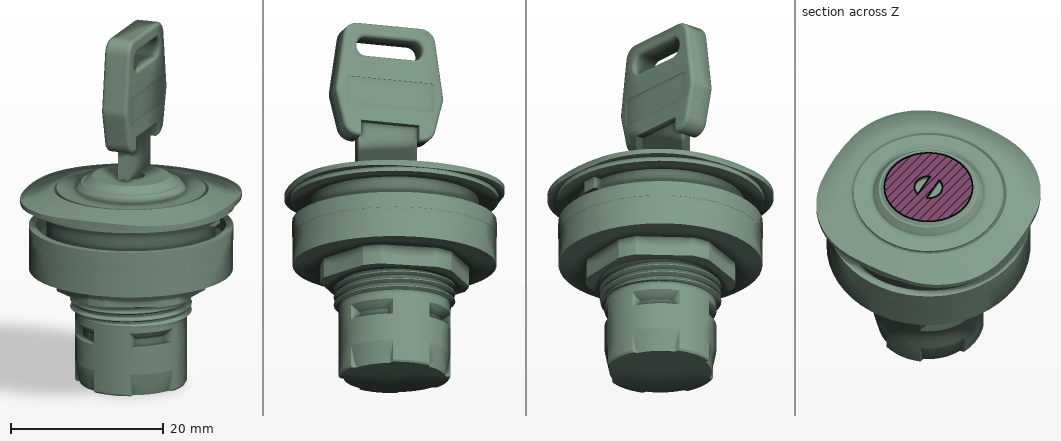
import cadquery as cq
import math

LIP_HEIGHT = 0.25
NOTCH_TOP = 3.0
WINDOW_BOTTOM = 6.6
WINDOW_INNER_TOP = 7.6
WINDOW_OUTER_TOP = 8.65
THREAD_BOTTOM = 9.75
NUT_BOTTOM = 12.75
RING_BOTTOM = 15.4
GASKET_BOTTOM = 19.4
GASKET_TOP = 21.45
TAB_BOTTOM = 22.7
BEZEL_BOTTOM = 24.25
BEZEL_WALL_BOTTOM = 24.85
DISC_TOP = 26.45
COLLAR_TOP = 27.32
LOCK_TOP = 28.2
KEY_HEAD_BOTTOM = 32.3
BLADE_TOP = 34.4
TOTAL_HEIGHT = 47.75

BODY_RADIUS = 7.35
LIP_INSET = 0.15
THREAD_DIAMETER = 16.0
THREAD_PITCH = 1.0
THREAD_ROOT_WIDTH = 0.85
THREAD_CREST_WIDTH = 0.1
THREAD_OVERLAP = 0.15
NUT_ACROSS_FLATS = 18.15
NUT_CORNER_DIAMETER = 19.7
NUT_CORNER_ANGLE = 23.6

WINDOW_ANGLES = (45, 135, 225, 315)
WINDOW_HALF_WIDTH = 3.1
WINDOW_FLOOR_HALF_WIDTH = 2.05
WINDOW_FLOOR_DIAMETER = 12.65
NOTCH_FLOOR_RADIUS = 6.75

RING_RADIUS = 13.4
GASKET_RADIUS = 13.45
GASKET_BORE_DIAMETER = 25.0
NECK_DIAMETER = 22.2
TAB_REACH = 12.2
TAB_WIDTH = 2.0

BEZEL_SIZE = 27.95
BEZEL_SIDE_RADIUS = 29.6
BEZEL_CORNER_RADIUS = 11.0
BEZEL_SKIRT_RADIUS = 13.7
CONE_INNER_RADIUS = 10.25
CONE_INNER_Z = 26.4
CONE_SIDE_Z = 25.65
GROOVE_RADIUS = 10.05
GROOVE_Z = 26.2
DISC_RADIUS = 9.85

COLLAR_BASE_RADIUS = 7.3
COLLAR_TOP_RADIUS = 6.55
LOCK_BASE_RADIUS = 6.3
LOCK_TOP_RADIUS = 5.1
KEYWAY_RADIUS = 1.8
KEYWAY_DEPTH = 1.0

KEY_CENTER_Y = 1.2
KEY_THICKNESS = 3.6
KEY_TOP_HALF_WIDTH = 6.1
KEY_WIDEST_HALF_WIDTH = 7.5
KEY_WIDEST_Z = 38.3
KEY_BOTTOM_HALF_WIDTH = 5.95
KEY_CORNER_RADIUS = 2.0
KEY_EDGE_RADIUS = 0.5
KEY_SLOT_LENGTH = 9.12
KEY_SLOT_WIDTH = 2.55
KEY_SLOT_Z = 44.6
LABEL_LENGTH = 12.2
LABEL_HEIGHT = 3.9
LABEL_Z = 38.3
LABEL_CORNER_RADIUS = 0.4
LABEL_DEPTH = 0.1
BLADE_THICKNESS = 1.4
BLADE_WIDTH = 8.1


def disc(radius, bottom, top):
    return cq.Workplane("XY").workplane(offset=bottom).circle(radius).extrude(top - bottom)


def revolved(points):
    """Revolve a closed (radius, z) outline about the Z axis."""
    return cq.Workplane("XZ").polyline(points).close().revolve(360, (0, 0, 0), (0, 1, 0))


def make_body():
    shaft = revolved([
        (0, 0),
        (BODY_RADIUS - LIP_INSET, 0),
        (BODY_RADIUS, LIP_HEIGHT),
        (BODY_RADIUS, RING_BOTTOM),
        (0, RING_BOTTOM),
    ])
    windows = revolved([
        (WINDOW_FLOOR_DIAMETER / 2, WINDOW_BOTTOM),
        (BODY_RADIUS, WINDOW_BOTTOM),
        (BODY_RADIUS, WINDOW_OUTER_TOP),
        (WINDOW_FLOOR_DIAMETER / 2, WINDOW_INNER_TOP),
    ])
    notches = revolved([
        (NOTCH_FLOOR_RADIUS, 0),
        (BODY_RADIUS, 0),
        (BODY_RADIUS, NOTCH_TOP),
    ])
    pockets = windows.union(notches)
    for angle in WINDOW_ANGLES:
        shaft = shaft.cut(pockets.intersect(make_pocket_wedge(angle)))
    return shaft


def make_pocket_wedge(angle):
    """Tapered prism whose slanted sides are the side walls of a window and a notch."""
    outer_x = math.sqrt(BODY_RADIUS**2 - WINDOW_HALF_WIDTH**2)
    inner_x = math.sqrt((WINDOW_FLOOR_DIAMETER / 2)**2 - WINDOW_FLOOR_HALF_WIDTH**2)
    flare = (WINDOW_HALF_WIDTH - WINDOW_FLOOR_HALF_WIDTH) / (outer_x - inner_x)
    end_half_width = WINDOW_HALF_WIDTH + flare * (BODY_RADIUS - outer_x)
    outline = [
        (inner_x, -WINDOW_FLOOR_HALF_WIDTH),
        (BODY_RADIUS, -end_half_width),
        (BODY_RADIUS, end_half_width),
        (inner_x, WINDOW_FLOOR_HALF_WIDTH),
    ]
    wedge = cq.Workplane("XY").polyline(outline).close().extrude(WINDOW_OUTER_TOP)
    return wedge.rotate((0, 0, 0), (0, 0, 1), angle)


def make_thread():
    """Right-handed ridge, trimmed flat at its lower end and by the nut at its upper end."""
    crest_radius = THREAD_DIAMETER / 2
    root_radius = BODY_RADIUS - THREAD_OVERLAP
    start_z = THREAD_BOTTOM - THREAD_PITCH
    length = NUT_BOTTOM - THREAD_BOTTOM + 2 * THREAD_PITCH
    path = cq.Wire.makeHelix(THREAD_PITCH, length, root_radius, cq.Vector(0, 0, start_z))
    ridge = (
        cq.Workplane("XZ")
        .polyline([
            (root_radius, start_z - THREAD_ROOT_WIDTH / 2),
            (crest_radius, start_z - THREAD_CREST_WIDTH / 2),
            (crest_radius, start_z + THREAD_CREST_WIDTH / 2),
            (root_radius, start_z + THREAD_ROOT_WIDTH / 2),
        ])
        .close()
        .sweep(cq.Workplane(path), isFrenet=True)
    )
    return ridge.intersect(disc(THREAD_DIAMETER, THREAD_BOTTOM, NUT_BOTTOM))


def make_nut():
    full_corner_diameter = NUT_ACROSS_FLATS / math.cos(math.radians(30))
    hexagon = (
        cq.Workplane("XY")
        .workplane(offset=NUT_BOTTOM)
        .polygon(6, full_corner_diameter)
        .extrude(RING_BOTTOM - NUT_BOTTOM)
        .rotate((0, 0, 0), (0, 0, 1), NUT_CORNER_ANGLE)
    )
    return hexagon.intersect(disc(NUT_CORNER_DIAMETER / 2, NUT_BOTTOM, RING_BOTTOM))


def make_ring_and_neck():
    gasket = disc(GASKET_RADIUS, GASKET_BOTTOM, GASKET_TOP)
    gasket = gasket.cut(disc(GASKET_BORE_DIAMETER / 2, GASKET_BOTTOM, GASKET_TOP))
    tab = cq.Workplane("XY").box(
        TAB_REACH, TAB_WIDTH, BEZEL_BOTTOM - TAB_BOTTOM, centered=(False, True, False)
    )
    return (
        disc(RING_RADIUS, RING_BOTTOM, GASKET_BOTTOM)
        .union(gasket)
        .union(disc(NECK_DIAMETER / 2, GASKET_BOTTOM, BEZEL_BOTTOM))
        .union(tab.translate((0, 0, TAB_BOTTOM)))
    )


def bezel_outline(height):
    """Rounded square of four bowed sides and four tangent corner arcs."""
    half = BEZEL_SIZE / 2
    side_center = half - BEZEL_SIDE_RADIUS
    center_distance = BEZEL_SIDE_RADIUS - BEZEL_CORNER_RADIUS
    corner_center = (side_center + math.sqrt(2 * center_distance**2 - side_center**2)) / 2
    join_x = corner_center * BEZEL_SIDE_RADIUS / center_distance
    join_y = side_center + math.sqrt(BEZEL_SIDE_RADIUS**2 - join_x**2)
    corner_mid = corner_center + BEZEL_CORNER_RADIUS / math.sqrt(2)

    outline = cq.Workplane("XY").workplane(offset=height).moveTo(-join_x, join_y)
    side_mid, side_end = (0, half), (join_x, join_y)
    corner, corner_end = (corner_mid, corner_mid), (join_y, join_x)
    for _ in range(4):
        outline = outline.threePointArc(side_mid, side_end).threePointArc(corner, corner_end)
        side_mid, side_end, corner, corner_end = (
            (y, -x) for x, y in (side_mid, side_end, corner, corner_end)
        )
    return outline.close()


def make_bezel():
    skirt = disc(BEZEL_SKIRT_RADIUS, BEZEL_BOTTOM, BEZEL_WALL_BOTTOM)
    plate = bezel_outline(BEZEL_WALL_BOTTOM).extrude(DISC_TOP - BEZEL_WALL_BOTTOM).union(skirt)

    slope = (CONE_INNER_Z - CONE_SIDE_Z) / (BEZEL_SIZE / 2 - CONE_INNER_RADIUS)
    rim_radius = BEZEL_SIZE / math.sqrt(2)
    rim_z = CONE_INNER_Z - slope * (rim_radius - CONE_INNER_RADIUS)
    top_shape = revolved([
        (0, BEZEL_BOTTOM),
        (rim_radius, BEZEL_BOTTOM),
        (rim_radius, rim_z),
        (CONE_INNER_RADIUS, CONE_INNER_Z),
        (GROOVE_RADIUS, GROOVE_Z),
        (DISC_RADIUS, GROOVE_Z),
        (DISC_RADIUS, DISC_TOP),
        (0, DISC_TOP),
    ])
    return plate.intersect(top_shape)


def make_lock():
    lock = revolved([
        (0, DISC_TOP),
        (COLLAR_BASE_RADIUS, DISC_TOP),
        (COLLAR_TOP_RADIUS, COLLAR_TOP),
        (LOCK_BASE_RADIUS, COLLAR_TOP),
        (LOCK_TOP_RADIUS, LOCK_TOP),
        (0, LOCK_TOP),
    ])
    return lock.cut(disc(KEYWAY_RADIUS, LOCK_TOP - KEYWAY_DEPTH, LOCK_TOP))


def key_plane(x):
    """Sketch plane facing +X whose origin is on the key's centre line."""
    return cq.Workplane("YZ", origin=(x, KEY_CENTER_Y, 0))


def make_key():
    half = KEY_THICKNESS / 2
    outline = [
        (-KEY_TOP_HALF_WIDTH, TOTAL_HEIGHT),
        (KEY_TOP_HALF_WIDTH, TOTAL_HEIGHT),
        (KEY_WIDEST_HALF_WIDTH, KEY_WIDEST_Z),
        (KEY_BOTTOM_HALF_WIDTH, KEY_HEAD_BOTTOM),
        (-KEY_BOTTOM_HALF_WIDTH, KEY_HEAD_BOTTOM),
        (-KEY_WIDEST_HALF_WIDTH, KEY_WIDEST_Z),
    ]
    slot = key_plane(-half).center(0, KEY_SLOT_Z).slot2D(KEY_SLOT_LENGTH, KEY_SLOT_WIDTH)
    head = (
        key_plane(-half)
        .polyline(outline)
        .close()
        .extrude(KEY_THICKNESS)
        .edges("|X")
        .fillet(KEY_CORNER_RADIUS)
        .cut(slot.extrude(KEY_THICKNESS))
        .faces("<X or >X")
        .edges()
        .fillet(KEY_EDGE_RADIUS)
    )

    for face_x in (-half, half - LABEL_DEPTH):
        panel = (
            key_plane(face_x)
            .center(0, LABEL_Z)
            .rect(LABEL_LENGTH, LABEL_HEIGHT)
            .extrude(LABEL_DEPTH)
            .edges("|X")
            .fillet(LABEL_CORNER_RADIUS)
        )
        head = head.cut(panel)

    opening_height = BLADE_TOP - KEY_HEAD_BOTTOM
    opening = key_plane(-half).center(0, KEY_HEAD_BOTTOM + opening_height / 2)
    head = head.cut(opening.rect(BLADE_WIDTH, opening_height).extrude(KEY_THICKNESS))

    blade_bottom = LOCK_TOP - KEYWAY_DEPTH
    blade_height = BLADE_TOP - blade_bottom
    blade = (
        key_plane(-BLADE_THICKNESS / 2)
        .center(0, blade_bottom + blade_height / 2)
        .rect(BLADE_WIDTH, blade_height)
        .extrude(BLADE_THICKNESS)
    )
    return head.union(blade)


result = (
    make_body()
    .union(make_thread())
    .union(make_nut())
    .union(make_ring_and_neck())
    .union(make_bezel())
    .union(make_lock())
    .union(make_key())
)